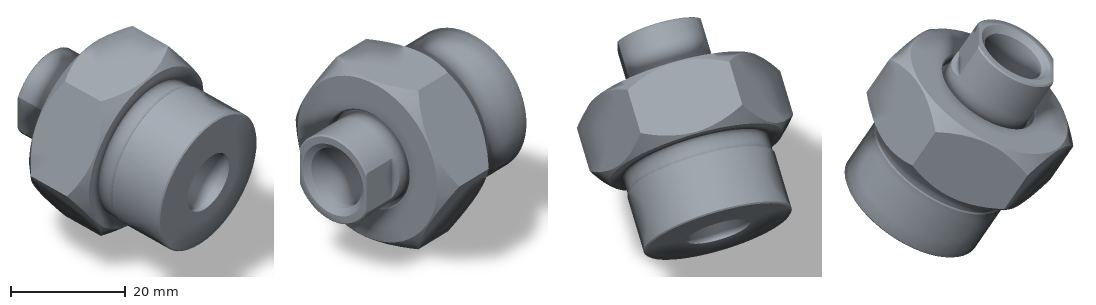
import cadquery as cq
import math

total_length = 37.0
nut_start = 9.47
nut_end = 23.0
flange_recess_depth = 2.0
flange_start = nut_start + flange_recess_depth
flange_end = 16.2

bore_diameter = 11.45
tube_diameter = 17.0
tip_chamfer = 0.25
bore_chamfer_width = 1.2
bore_chamfer_depth = 1.0
flange_fillet = 0.48
width_across_flats = 15.02
flats_length = 7.0

hex_width = 32.0
nut_face_diameter = 31.52
nut_hole_diameter = 18.5
nut_hole_chamfer = 0.3

neck_diameter = 26.4
collar_diameter = 26.9
collar_start = 26.12
collar_chamfer = (collar_diameter - neck_diameter) / 2


def cylinder(diameter, start, end):
    """Solid cylinder on the X axis between two positions."""
    return cq.Workplane("YZ").workplane(offset=start).circle(diameter / 2).extrude(end - start)


def revolved(profile):
    """Solid of revolution about X from (x, radius) points."""
    return cq.Workplane("XY").polyline(profile).close().revolve(360, (0, 0, 0), (1, 0, 0))


def wrench_flat_cutter():
    """Material beside the +Y wrench flat, with a 45 degree run-out."""
    flat_y = width_across_flats / 2
    reach = tube_diameter / 2
    profile = [
        (0, flat_y),
        (flats_length, flat_y),
        (flats_length + reach, flat_y + reach),
        (0, flat_y + reach),
    ]
    return cq.Workplane("XY").polyline(profile).close().extrude(reach, both=True)


def make_tailpiece():
    """Tube with two wrench flats and a flange held inside the nut."""
    tube = cylinder(tube_diameter, 0, flange_start).faces("<X").chamfer(tip_chamfer)
    flange = cylinder(neck_diameter, flange_start, flange_end)
    body = tube.union(flange)
    root_edge = cq.selectors.BoxSelector(
        (flange_start - tip_chamfer, -tube_diameter, -tube_diameter),
        (flange_start + tip_chamfer, tube_diameter, tube_diameter),
    )
    body = body.edges(root_edge).edges(cq.selectors.RadiusNthSelector(0)).fillet(flange_fillet)
    cutter = wrench_flat_cutter()
    body = body.cut(cutter).cut(cutter.mirror("XZ"))
    body = body.cut(cylinder(bore_diameter, 0, flange_end))
    bore_radius = bore_diameter / 2
    countersink = revolved([
        (0, 0),
        (0, bore_radius + bore_chamfer_width),
        (bore_chamfer_depth, bore_radius),
        (bore_chamfer_depth, 0),
    ])
    return body.cut(countersink)


def make_nut():
    """Hexagon with chamfered corners, a rim hole and a bore for the flange and sleeve."""
    corner_diameter = hex_width / math.cos(math.pi / 6)
    length = nut_end - nut_start
    hexagon = cq.Workplane("YZ").workplane(offset=nut_start).polygon(6, corner_diameter).extrude(length)
    corner_chamfer = (corner_diameter - nut_face_diameter) / 2
    envelope = cylinder(corner_diameter, nut_start, nut_end).faces("<X or >X").chamfer(corner_chamfer)
    rim_hole = cylinder(nut_hole_diameter, nut_start, flange_start)
    hole_radius = nut_hole_diameter / 2
    countersink = revolved([
        (nut_start, 0),
        (nut_start, hole_radius + nut_hole_chamfer),
        (nut_start + nut_hole_chamfer, hole_radius),
        (nut_start + nut_hole_chamfer, 0),
    ])
    main_bore = cylinder(neck_diameter, flange_start, nut_end)
    return hexagon.intersect(envelope).cut(rim_hole).cut(countersink).cut(main_bore)


def make_sleeve():
    """Neck fitted in the nut, with a slightly larger chamfered collar outside it."""
    neck = cylinder(neck_diameter, flange_end, collar_start)
    collar = cylinder(collar_diameter, collar_start, total_length).faces("<X or >X").chamfer(collar_chamfer)
    return neck.union(collar).cut(cylinder(bore_diameter, flange_end, total_length))


tailpiece = make_tailpiece()
nut = make_nut()
sleeve = make_sleeve()

result = cq.Compound.makeCompound([tailpiece.val(), nut.val(), sleeve.val()])